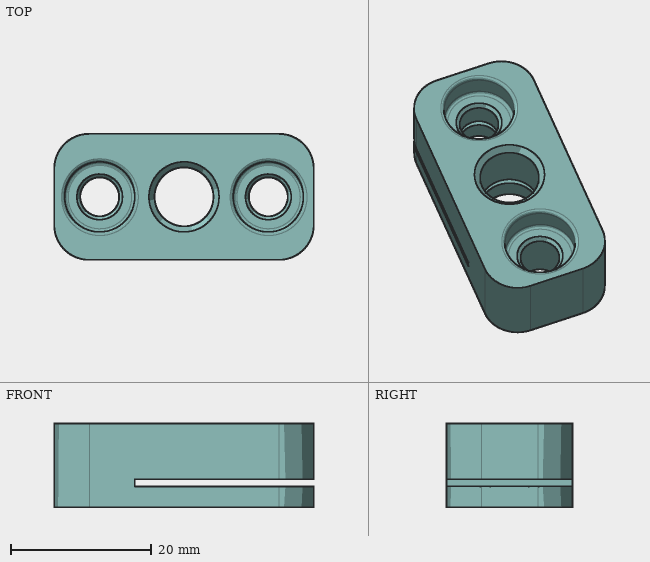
import cadquery as cq

length = 37.0
width = 18.0
height = 12.0
corner_radius = 5.0

center_diameter = 8.35
center_mouth_diameter = 10.0

screw_spacing = 24.0
screw_diameter = 5.5
screw_mouth_diameter = 6.5
bore_diameter = 10.0
bore_depth = 3.92
bore_edge_radius = 0.48

slot_start = 11.5
slot_bottom = 3.0
slot_height = 1.0


def make_block():
    block = cq.Workplane("XY").box(length, width, height, centered=(True, True, False))
    return block.edges("|Z").fillet(corner_radius)


def make_center_cutter():
    """Through hole with a 45 degree chamfer at the top."""
    radius = center_diameter / 2
    mouth_radius = center_mouth_diameter / 2
    chamfer = mouth_radius - radius
    return (
        cq.Workplane("XZ")
        .lineTo(radius, 0)
        .lineTo(radius, height - chamfer)
        .lineTo(mouth_radius, height)
        .lineTo(0, height)
        .close()
        .revolve(360, (0, 0), (0, 1))
    )


def make_screw_cutter(x):
    """Chamfered through hole below a counterbore with rounded rim and floor corner."""
    radius = screw_diameter / 2
    mouth_radius = screw_mouth_diameter / 2
    bore_radius = bore_diameter / 2
    floor = height - bore_depth
    chamfer = mouth_radius - radius
    rounding = bore_edge_radius
    profile = (
        cq.Workplane("XZ")
        .lineTo(radius, 0)
        .lineTo(radius, floor - chamfer)
        .lineTo(mouth_radius, floor)
        .lineTo(bore_radius - rounding, floor)
        .radiusArc((bore_radius, floor + rounding), -rounding)
        .lineTo(bore_radius, height - rounding)
        .radiusArc((bore_radius + rounding, height), rounding)
        .lineTo(0, height)
        .close()
    )
    return profile.revolve(360, (0, 0), (0, 1)).translate((x, 0, 0))


def make_slot_cutter():
    slot_length = length - slot_start
    slot = cq.Workplane("XY").box(slot_length, width, slot_height, centered=(False, True, False))
    return slot.translate((slot_start - length / 2, 0, slot_bottom))


result = make_block().cut(make_center_cutter()).cut(make_slot_cutter())
for side in (-1, 1):
    result = result.cut(make_screw_cutter(side * screw_spacing / 2))